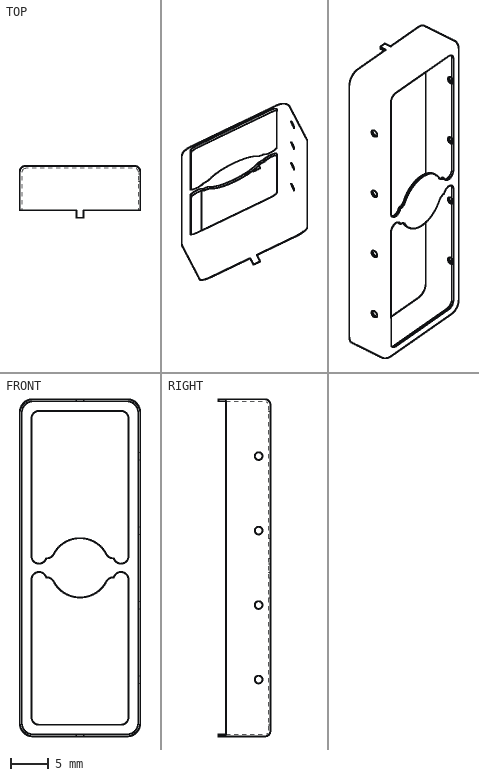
import cadquery as cq
import math

WIDTH = 16.2
HEIGHT = 45.3
DEPTH = 6.0
WALL = 0.3
CORNER_RADIUS = 1.8
RIM_RADIUS = 0.8

WINDOW_MARGIN = 1.6
WINDOW_RADIUS = 1.0
BRIDGE_HEIGHT = 1.15
DISC_RADIUS = 4.0
BLEND_RADIUS = WINDOW_RADIUS
BLEND_CENTER_Z = 2.3

HOLE_DIAMETER = 1.0
HOLE_FLOOR_OFFSET = 1.6
HOLE_PITCH = 10.0
HOLE_COUNT = 4

TAB_WIDTH = 1.0
TAB_LENGTH = 1.0

OPEN_Y = 0.0
FLOOR_Y = OPEN_Y + DEPTH


def rounded_block(width, height, depth, corner_radius, rim_radius):
    """Block from the open plane toward +Y with rounded corners and a rounded far rim."""
    return (
        cq.Workplane("XZ", origin=(0, OPEN_Y, 0))
        .rect(width, height)
        .extrude(-depth)
        .edges("|Y")
        .fillet(corner_radius)
        .faces(">Y")
        .edges()
        .fillet(rim_radius)
    )


def make_shell():
    outer = rounded_block(WIDTH, HEIGHT, DEPTH, CORNER_RADIUS, RIM_RADIUS)
    cavity = rounded_block(
        WIDTH - 2 * WALL,
        HEIGHT - 2 * WALL,
        DEPTH - WALL,
        CORNER_RADIUS - WALL,
        RIM_RADIUS - WALL,
    )
    return outer.cut(cavity)


def make_upper_window():
    """Cutter for the window above the bridge, following the disc along its lower side."""
    side_x = WIDTH / 2 - WINDOW_MARGIN
    top_z = HEIGHT / 2 - WINDOW_MARGIN
    r = WINDOW_RADIUS
    diagonal = r * math.sqrt(0.5)

    notch_x = side_x - r
    notch_z = BRIDGE_HEIGHT / 2 + r

    center_distance = DISC_RADIUS + BLEND_RADIUS
    blend_x = math.sqrt(center_distance**2 - BLEND_CENTER_Z**2)
    tangent_x = blend_x * DISC_RADIUS / center_distance
    tangent_z = BLEND_CENTER_Z * DISC_RADIUS / center_distance

    step_x = notch_x - blend_x
    step_z = BLEND_CENTER_Z - notch_z
    gap = math.hypot(step_x, step_z)
    reach = math.sqrt(r**2 - (gap / 2) ** 2)
    cusp_x = (notch_x + blend_x) / 2 - reach * step_z / gap
    cusp_z = (notch_z + BLEND_CENTER_Z) / 2 - reach * step_x / gap

    cusp_angle = math.atan2(cusp_z - BLEND_CENTER_Z, cusp_x - blend_x)
    disc_angle = math.atan2(-BLEND_CENTER_Z, -blend_x)
    middle_angle = (cusp_angle + disc_angle) / 2
    blend_middle_x = blend_x + BLEND_RADIUS * math.cos(middle_angle)
    blend_middle_z = BLEND_CENTER_Z + BLEND_RADIUS * math.sin(middle_angle)

    return (
        cq.Workplane("XZ", origin=(0, FLOOR_Y - WALL, 0))
        .moveTo(-tangent_x, tangent_z)
        .threePointArc((0, DISC_RADIUS), (tangent_x, tangent_z))
        .threePointArc((blend_middle_x, blend_middle_z), (cusp_x, cusp_z))
        .threePointArc((notch_x, notch_z - r), (side_x, notch_z))
        .lineTo(side_x, top_z - r)
        .threePointArc((side_x - r + diagonal, top_z - r + diagonal), (side_x - r, top_z))
        .lineTo(r - side_x, top_z)
        .threePointArc((r - side_x - diagonal, top_z - r + diagonal), (-side_x, top_z - r))
        .lineTo(-side_x, notch_z)
        .threePointArc((-notch_x, notch_z - r), (-cusp_x, cusp_z))
        .threePointArc((-blend_middle_x, blend_middle_z), (-tangent_x, tangent_z))
        .close()
        .extrude(-WALL)
    )


def make_pin_holes():
    first_z = -HOLE_PITCH * (HOLE_COUNT - 1) / 2
    positions = [(FLOOR_Y - HOLE_FLOOR_OFFSET, first_z + i * HOLE_PITCH) for i in range(HOLE_COUNT)]
    return (
        cq.Workplane("YZ")
        .pushPoints(positions)
        .circle(HOLE_DIAMETER / 2)
        .extrude(WIDTH / 2, both=True)
    )


def make_upper_tab():
    """Tab continuing the upper short wall past the open edge; it overlaps the wall to fuse."""
    overlap = WALL
    return (
        cq.Workplane("XY")
        .box(TAB_WIDTH, TAB_LENGTH + overlap, WALL, centered=(True, False, False))
        .translate((0, OPEN_Y - TAB_LENGTH, HEIGHT / 2 - WALL))
    )


upper_window = make_upper_window()
upper_tab = make_upper_tab()

result = (
    make_shell()
    .cut(upper_window)
    .cut(upper_window.mirror("XY"))
    .cut(make_pin_holes())
    .union(upper_tab)
    .union(upper_tab.mirror("XY"))
)